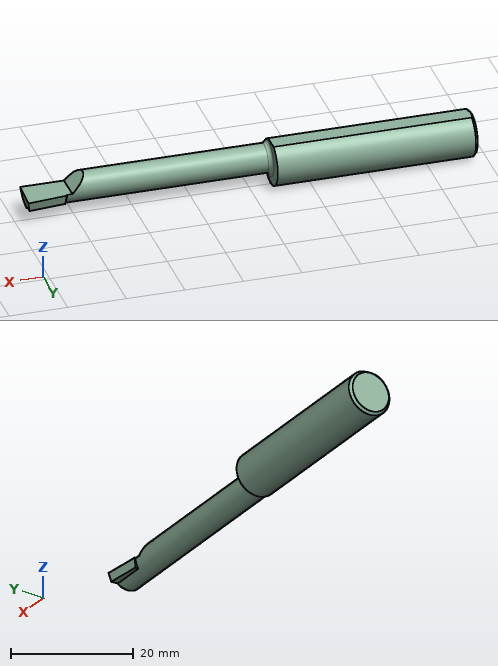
import cadquery as cq
import math

total_length = 76.2
shank_length = 34.3
shank_radius = 4.0
flat_height = 3.65
end_chamfer = 0.45

neck_radius = 2.5
neck_center_y = -1.7
root_fillet = 0.7

ramp_end_x = 68.4
ramp_angle = 45
head_start_x = 69.35
head_step = 0.2
head_start_y = neck_center_y + neck_radius + head_step
tip_y = 1.75
head_depth = 1.7
side_relief_angle = 10
end_relief_angle = 9
end_skew = 0.3

clearance = 2 * shank_radius


def bar(radius, length):
    return cq.Workplane("YZ").circle(radius).extrude(length)


def make_shank():
    shank = bar(shank_radius, shank_length).faces("<X").chamfer(end_chamfer)
    above_flat = cq.Workplane("XY").workplane(offset=flat_height).rect(
        2 * total_length, 2 * clearance
    ).extrude(clearance)
    return shank.cut(above_flat)


def make_neck():
    """Neck revolved about its own axis, with a concave fillet at the shank."""
    arc_dip = root_fillet * (1 - math.sqrt(0.5))
    profile = (
        cq.Workplane("XY")
        .moveTo(shank_length, 0)
        .lineTo(shank_length, neck_radius + root_fillet)
        .threePointArc(
            (shank_length + arc_dip, neck_radius + arc_dip),
            (shank_length + root_fillet, neck_radius),
        )
        .lineTo(total_length, neck_radius)
        .lineTo(total_length, 0)
        .close()
    )
    neck = profile.revolve(360, (0, 0, 0), (1, 0, 0))
    return neck.translate((0, neck_center_y, 0))


def make_head():
    """Cutting edge that widens toward the tip and narrows below the rake face."""
    outline = [
        (head_start_x, neck_center_y),
        (head_start_x, head_start_y),
        (total_length, tip_y),
        (total_length, neck_center_y),
    ]
    return cq.Workplane("XY").polyline(outline).close().extrude(-head_depth, taper=side_relief_angle)


def make_ramp_cut():
    """Everything above the rake face and its ramp."""
    ramp_run = clearance / math.tan(math.radians(ramp_angle))
    outline = [
        (ramp_end_x, 0),
        (ramp_end_x - ramp_run, clearance),
        (total_length + clearance, clearance),
        (total_length + clearance, 0),
    ]
    return cq.Workplane("XZ").polyline(outline).close().extrude(clearance, both=True)


def make_end_cut():
    """Material beyond the end face, which leans back downward and toward -Y."""
    skew_angle = math.degrees(math.atan(end_skew / (tip_y + shank_radius)))
    return (
        cq.Workplane("XY")
        .box(clearance, 4 * clearance, 4 * clearance, centered=(False, True, True))
        .rotate((0, 0, 0), (0, 1, 0), end_relief_angle)
        .rotate((0, 0, 0), (0, 0, 1), -skew_angle)
        .translate((total_length, tip_y, 0))
    )


tool_end = make_neck().union(make_head())
tool_end = tool_end.intersect(bar(shank_radius, total_length))
tool_end = tool_end.cut(make_ramp_cut()).cut(make_end_cut())

result = make_shank().union(tool_end)